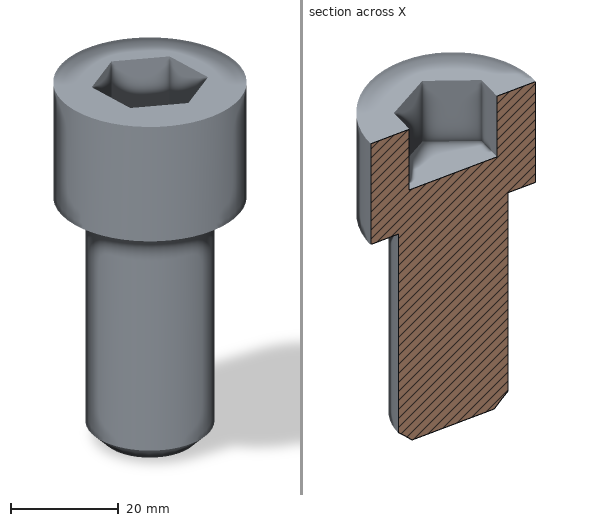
import cadquery as cq
import math

total_length = 74.0
head_diameter = 36.0
shank_diameter = 24.0
head_height = shank_diameter
tip_chamfer = 3.0
socket_across_flats = 19.0
socket_depth = 0.6 * head_height

shank_length = total_length - head_height
socket_across_corners = socket_across_flats / math.cos(math.pi / 6)

shank = (
    cq.Workplane("XY")
    .circle(shank_diameter / 2)
    .extrude(shank_length)
    .faces("<Z")
    .chamfer(tip_chamfer)
)

head = (
    cq.Workplane("XY")
    .workplane(offset=shank_length)
    .circle(head_diameter / 2)
    .extrude(head_height)
)

socket = (
    cq.Workplane("XY")
    .workplane(offset=total_length - socket_depth)
    .polygon(6, socket_across_corners)
    .extrude(socket_depth)
)

result = shank.union(head).cut(socket)